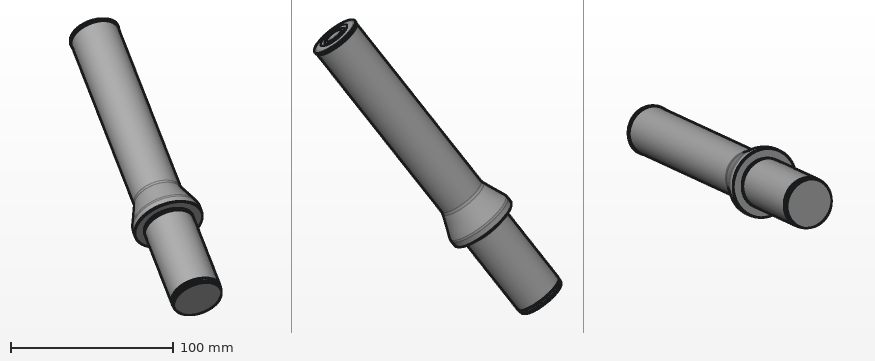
import cadquery as cq

total_length = 215.0
joint_x = 154.8

shank_radius = 31.0 / 2
head_radius = 31.5 / 2
head_end_x = 2.8
head_step_length = 0.6
head_rim_x = 0.6
head_edge_x = 0.9
head_face_radius = 14.2
flange_radius = 44.0 / 2
cone_start_x = 132.9
cone_end_x = 149.6
cone_blend_radius = 5.4
cone_rim_blend_radius = 3.9
flange_chamfer = 0.5

crest_radius = 10.0
groove_radius = 7.5
groove_depth = 0.6
inner_ring_radius = 5.5
inner_ring_depth = 0.2
center_depth = 0.9
center_flat_radius = 0.32

spigot_radius = 32.0 / 2
neck_radius = 31.5 / 2
neck_length = 2.0
neck_slope_length = 0.6
end_band_start_x = 211.3
end_band_slope_length = 0.6
end_band_radius = 31.5 / 2
end_chamfer_length = 1.3
end_chamfer_height = 0.5


def revolve_about_x(profile):
    """Turn a closed (x, radius) profile into a solid around the X axis."""
    return profile.close().revolve(360, (0, 0, 0), (1, 0, 0))


def on_ring(x, radius):
    """Selector for the circular edge of the given radius at x."""
    margin = 0.1
    return cq.selectors.BoxSelector(
        (x - margin, -radius - margin, -radius - margin),
        (x + margin, radius + margin, radius + margin),
        boundingbox=True,
    )


def make_shank():
    """Round shank with a ringed head face and a conical flange."""
    profile = (
        cq.Workplane("XY")
        .moveTo(center_depth, 0)
        .lineTo(center_depth, center_flat_radius)
        .lineTo(inner_ring_depth, inner_ring_radius)
        .lineTo(groove_depth, groove_radius)
        .lineTo(0, crest_radius)
        .lineTo(head_rim_x, head_face_radius)
        .lineTo(head_edge_x, head_radius)
        .lineTo(head_end_x - head_step_length, head_radius)
        .lineTo(head_end_x, shank_radius)
        .lineTo(cone_start_x, shank_radius)
        .lineTo(cone_end_x, flange_radius)
        .lineTo(joint_x - flange_chamfer, flange_radius)
        .lineTo(joint_x, flange_radius - flange_chamfer)
        .lineTo(joint_x, 0)
    )
    body = revolve_about_x(profile)
    body = body.edges(on_ring(cone_start_x, shank_radius)).fillet(cone_blend_radius)
    return body.edges(on_ring(cone_end_x, flange_radius)).fillet(cone_rim_blend_radius)


def make_spigot():
    """Rear cylinder with a shallow neck groove at the flange and a stepped, chamfered end."""
    neck_end_x = joint_x + neck_length
    profile = (
        cq.Workplane("XY")
        .moveTo(joint_x, 0)
        .lineTo(joint_x, spigot_radius)
        .lineTo(joint_x + neck_slope_length, neck_radius)
        .lineTo(neck_end_x - neck_slope_length, neck_radius)
        .lineTo(neck_end_x, spigot_radius)
        .lineTo(end_band_start_x, spigot_radius)
        .lineTo(end_band_start_x + end_band_slope_length, end_band_radius)
        .lineTo(total_length - end_chamfer_length, end_band_radius)
        .lineTo(total_length, end_band_radius - end_chamfer_height)
        .lineTo(total_length, 0)
    )
    return revolve_about_x(profile)


shank = make_shank()
spigot = make_spigot()

result = cq.Compound.makeCompound([shank.val(), spigot.val()])